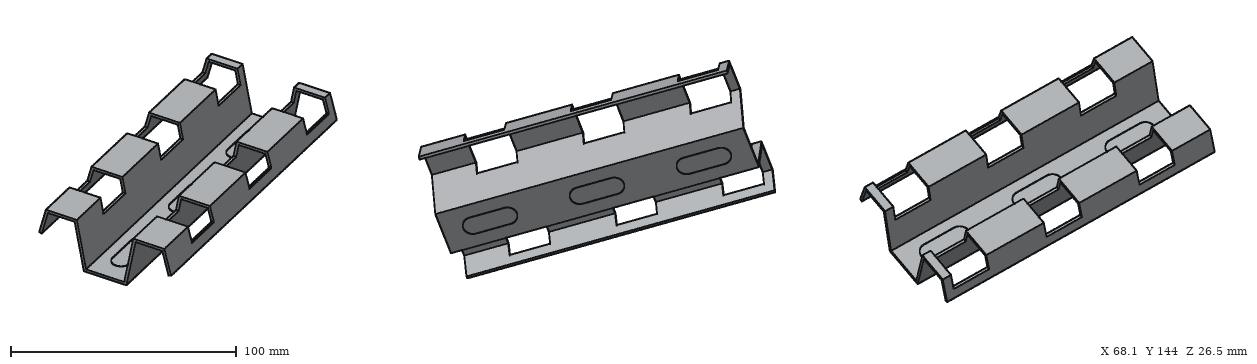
import cadquery as cq
import math

length = 144.0
width = 68.1
height = 26.2
sheet = 1.5

floor_half_width = 9.8
roof_inner_x = 14.5
roof_outer_x = 30.5
lip_angle = 15.0

pitch = 50.0
window_length = 19.0
end_margin = 4.5
window_depth = 8.2
window_inner_x = 12.7
left_window_outer_x = 33.0
right_window_outer_x = 32.4

pad_length = 25.0
pad_width = 9.0
pad_drop = 0.3

lip_slope = math.tan(math.radians(lip_angle))
lip_tip_x = width / 2
lip_tip_z = height - (lip_tip_x - roof_outer_x) / lip_slope


def underside(points):
    """Offset an open upper-face path by the sheet thickness, with mitred bends and square ends."""
    normals = []
    for (x0, z0), (x1, z1) in zip(points, points[1:]):
        run = math.hypot(x1 - x0, z1 - z0)
        normals.append(((z1 - z0) / run, (x0 - x1) / run))
    before = [normals[0]] + normals
    after = normals + [normals[-1]]
    shifted = []
    for (x, z), (ax, az), (bx, bz) in zip(points, before, after):
        mitre = sheet / (1 + ax * bx + az * bz)
        shifted.append((x + mitre * (ax + bx), z + mitre * (az + bz)))
    return shifted


right_path = [
    (floor_half_width, sheet),
    (roof_inner_x, height),
    (roof_outer_x, height),
    (lip_tip_x, lip_tip_z),
]
left_path = [(-x, z) for x, z in reversed(right_path)]
upper_path = left_path + right_path
outline = upper_path + underside(upper_path)[::-1]
result = cq.Workplane("XZ").polyline(outline).close().extrude(length / 2, both=True)

first_window_y = length / 2 - end_margin - window_length / 2
window_spans = [
    (-left_window_outer_x, -window_inner_x),
    (window_inner_x, right_window_outer_x),
]
for x_start, x_end in window_spans:
    centers = [((x_start + x_end) / 2, first_window_y - row * pitch) for row in range(3)]
    windows = (
        cq.Workplane("XY", origin=(0, 0, height - window_depth))
        .pushPoints(centers)
        .rect(x_end - x_start, window_length)
        .extrude(window_depth)
    )
    result = result.cut(windows)

pad_centers = [(0, row * pitch) for row in (-1, 0, 1)]
pads = cq.Workplane("XY").pushPoints(pad_centers).slot2D(pad_length, pad_width, 90).extrude(sheet)
result = result.cut(pads).union(pads.translate((0, 0, -pad_drop)))